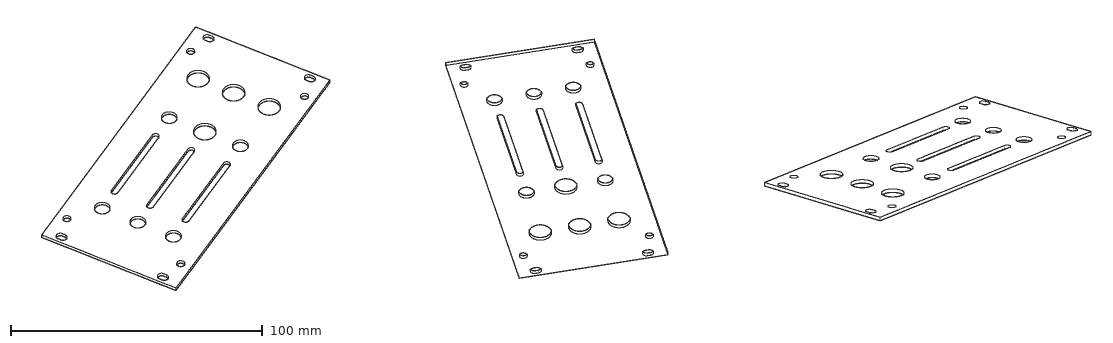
import cadquery as cq

width = 60.7
length = 128.5
thickness = 1.5

mount_x = 22.9
mount_y = 61.3
mount_length = 4.5
mount_width = 3.2

fixing_x = 25.7
fixing_y = 51.7
fixing_diameter = 3.2

column_pitch = 16.0
columns = [-column_pitch, 0, column_pitch]
outer_columns = [columns[0], columns[-1]]
large_diameter = 9
small_diameter = 6.3
top_row_y = 40.0
middle_row_y = 15.9
bottom_row_y = -40.0

slider_y = -12.6
slider_length = 37.0
slider_width = 2.8


def mirrored(x, y):
    """Four points, symmetric about both centre lines of the panel."""
    return [(sx * x, sy * y) for sx in (-1, 1) for sy in (-1, 1)]


def row(x_positions, y):
    """Points at the same height on the panel."""
    return [(x, y) for x in x_positions]


def drill(panel, points, diameter):
    """Round through holes."""
    cutters = cq.Workplane("XY").pushPoints(points).circle(diameter / 2).extrude(thickness)
    return panel.cut(cutters)


def cut_slots(panel, points, slot_length, slot_width, angle):
    """Round-ended through slots, turned by angle from the X axis."""
    cutters = cq.Workplane("XY").pushPoints(points).slot2D(slot_length, slot_width, angle).extrude(thickness)
    return panel.cut(cutters)


panel = cq.Workplane("XY").rect(width, length).extrude(thickness)

panel = cut_slots(panel, mirrored(mount_x, mount_y), mount_length, mount_width, 0)
panel = drill(panel, mirrored(fixing_x, fixing_y), fixing_diameter)

large_holes = row(columns, top_row_y) + [(0, middle_row_y)]
small_holes = row(outer_columns, middle_row_y) + row(columns, bottom_row_y)
panel = drill(panel, large_holes, large_diameter)
panel = drill(panel, small_holes, small_diameter)

panel = cut_slots(panel, row(columns, slider_y), slider_length, slider_width, 90)

result = panel